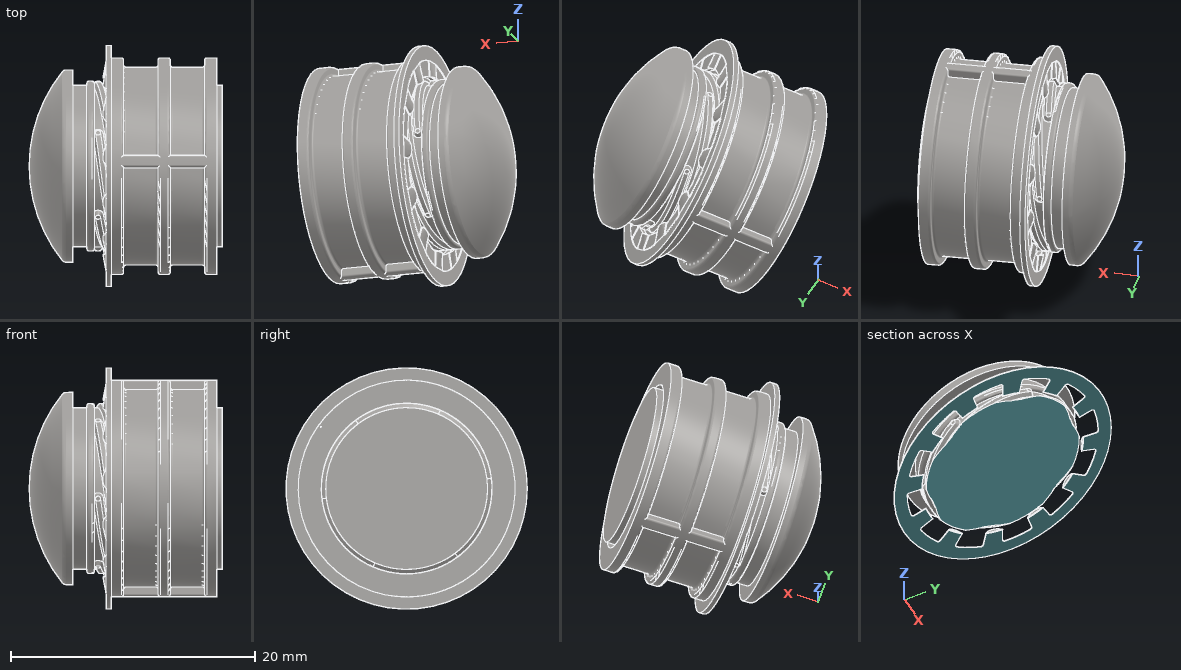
import cadquery as cq
import math


plug_tip_x = -6.74
cap_height = 2.85
cap_radius = 7.88
cap_rim_back_x = -3.15
cap_edge_fillet = 0.43
shank_radius = 6.62
shank_end_x = 9.09

collar_radius = 6.98
collar_front_x = -2.02
collar_width = 0.63
collar_fillet = 0.22

thread_starts = 6
first_thread_angle = 30.0
thread_lead = 5.93
thread_turn = 120.0
thread_base_width = 0.87
thread_crest_width = 0.41
thread_crest_radius = collar_radius
thread_start_x = -1.2
thread_nose_setback = 0.8
thread_root_depth = 0.15

ring_radius = 9.88
ring_bore_radius = 7.33
ring_thickness = 0.43
tooth_count = 12
tooth_angle = 12.0
first_tooth_angle = 6.0
tooth_outer_radius = 8.67
tooth_height = 0.25
tooth_shoulder_place = 0.6
tooth_shoulder_rise = 0.72
tooth_tip_height = 0.01
notch_depth = 0.08
notch_corner_fillet = 0.2

housing_radius = 8.87
housing_length = 8.64
housing_turn = 2.6
bore_clearance = 0.02
groove_floor_radius = 8.1
groove_width = 2.8
groove_pitch = 3.81
groove_count = 2
first_groove_x = 1.0
groove_fillet = 0.2
tolerance = 0.002
rib_width = 1.0


def revolve_about_x(profile):
    """Revolve a profile drawn in XY about the X axis."""
    return profile.revolve(360, (0, 0, 0), (1, 0, 0))


def tube(x, length, outer, inner):
    return cq.Workplane("YZ", origin=(x, 0, 0)).circle(outer).circle(inner).extrude(length)


def turned(body, angle):
    """Turn a body about X by an angle that carries +Z toward +Y."""
    return body.rotate((0, 0, 0), (1, 0, 0), -angle)


def make_plug_blank():
    dome_radius = (cap_radius**2 + cap_height**2) / (2 * cap_height)
    mid_radius = cap_radius / 2
    mid_x = plug_tip_x + dome_radius - math.sqrt(dome_radius**2 - mid_radius**2)
    profile = (
        cq.Workplane("XY")
        .moveTo(plug_tip_x, 0)
        .threePointArc((mid_x, mid_radius), (plug_tip_x + cap_height, cap_radius))
        .lineTo(cap_rim_back_x, cap_radius)
        .lineTo(cap_rim_back_x, shank_radius)
        .lineTo(shank_end_x, shank_radius)
        .lineTo(shank_end_x, 0)
        .close()
    )
    rim_corner = cq.selectors.NearestToPointSelector((plug_tip_x + cap_height, 0, 0))
    return revolve_about_x(profile).edges(rim_corner).fillet(cap_edge_fillet)


def make_collar():
    collar = cq.Workplane("YZ", origin=(collar_front_x, 0, 0)).circle(collar_radius).extrude(collar_width)
    return collar.edges("%CIRCLE").fillet(collar_fillet)


def make_thread():
    """One thread that begins at +Z and advances in +X while turning toward -Y."""
    flank_width = (thread_base_width - thread_crest_width) / 2
    height = thread_crest_radius - shank_radius
    root_radius = shank_radius - thread_root_depth
    root_half = thread_base_width / 2 + flank_width * thread_root_depth / height
    crest_half = thread_crest_width / 2
    nose_angle = math.degrees(thread_nose_setback / shank_radius)
    sweep_start_x = thread_start_x + thread_lead * nose_angle / 360

    helix = cq.Wire.makeHelix(thread_lead, thread_lead * thread_turn / 360, root_radius)
    section = (
        cq.Workplane("XZ")
        .moveTo(root_radius, -root_half)
        .lineTo(thread_crest_radius, -crest_half)
        .lineTo(thread_crest_radius, crest_half)
        .lineTo(root_radius, root_half)
        .close()
    )
    ridge = section.sweep(cq.Workplane(obj=helix), isFrenet=True)
    ridge = ridge.rotate((0, 0, 0), (0, 1, 0), 90)
    ridge = ridge.rotate((0, 0, 0), (1, 0, 0), 180)

    flank_taper = math.degrees(math.atan2(flank_width, height))
    nose = (
        cq.Workplane("XY", origin=(0, 0, root_radius))
        .circle(root_half)
        .extrude(thread_crest_radius - root_radius, taper=flank_taper)
    )
    return turned(ridge.union(nose), -nose_angle).translate((sweep_start_x, 0, 0))


def make_plug():
    plug = make_plug_blank().union(make_collar())
    thread = make_thread()
    for i in range(thread_starts):
        plug = plug.union(turned(thread, first_thread_angle + i * 360 / thread_starts))
    return plug


def make_tooth():
    """Arched tooth at +Z on the ring's front face, fading out toward its outer end."""
    half_angle = math.radians(tooth_angle / 2)

    def outline(radius, height):
        half_width = radius * math.sin(half_angle)
        plane = cq.Plane(
            origin=(-ring_thickness, 0, radius * math.cos(half_angle)), xDir=(0, 1, 0), normal=(0, 0, 1)
        )
        shoulder = half_width * tooth_shoulder_place
        shoulder_height = height * tooth_shoulder_rise
        return (
            cq.Workplane(plane)
            .moveTo(-half_width, 0)
            .threePointArc((-shoulder, shoulder_height), (0, height))
            .threePointArc((shoulder, shoulder_height), (half_width, 0))
            .close()
            .val()
        )

    ends = [outline(ring_bore_radius, tooth_height), outline(tooth_outer_radius, tooth_tip_height)]
    return cq.Workplane(cq.Solid.makeLoft(ends, True))


def make_notch():
    """Shallow sector-shaped recess between two teeth, starting at +Z and turning toward -Y."""
    notch_angle = math.radians(360 / tooth_count - tooth_angle)
    inner = ring_bore_radius - 2 * notch_corner_fillet

    def point(radius, angle):
        return (-radius * math.sin(angle), radius * math.cos(angle))

    return (
        cq.Workplane("YZ", origin=(-ring_thickness, 0, 0))
        .moveTo(*point(inner, 0))
        .lineTo(*point(tooth_outer_radius, 0))
        .threePointArc(point(tooth_outer_radius, notch_angle / 2), point(tooth_outer_radius, notch_angle))
        .lineTo(*point(inner, notch_angle))
        .close()
        .extrude(notch_depth)
        .edges("|X")
        .fillet(notch_corner_fillet)
    )


def make_ring():
    ring = tube(-ring_thickness, ring_thickness, ring_radius, ring_bore_radius)
    tooth = make_tooth()
    notch = make_notch()
    for i in range(tooth_count):
        angle = i * 360 / tooth_count
        ring = ring.union(turned(tooth, first_tooth_angle + angle))
        ring = ring.cut(turned(notch, angle))
    return ring


def make_groove(x):
    """Groove cutter with rounded floor corners, split in two by the ribs."""
    ring = tube(x, groove_width, 2 * housing_radius, groove_floor_radius)
    floor_edges = cq.selectors.RadiusNthSelector(0)
    ring = ring.edges(floor_edges).fillet(groove_fillet)
    rib = cq.Workplane("XY").box(4 * housing_length, rib_width, 5 * housing_radius)
    return ring.cut(rib)


def is_groove_opening(edge):
    """True for edges on the outer wall, away from the two end faces of the housing."""
    points = [edge.positionAt(0), edge.positionAt(0.5)]
    on_wall = all(abs(math.hypot(p.y, p.z) - housing_radius) < tolerance for p in points)
    return on_wall and tolerance < edge.Center().x < housing_length - tolerance


def make_housing():
    housing = tube(0, housing_length, housing_radius, thread_crest_radius + bore_clearance)
    for i in range(groove_count):
        housing = housing.cut(make_groove(first_groove_x + i * groove_pitch))
    openings = [edge for edge in housing.edges().vals() if is_groove_opening(edge)]
    housing = housing.newObject(openings).fillet(groove_fillet)
    return turned(housing, housing_turn)


plug = make_plug()
ring = make_ring()
housing = make_housing()
result = cq.Compound.makeCompound([plug.solids().val(), ring.solids().val(), housing.solids().val()])